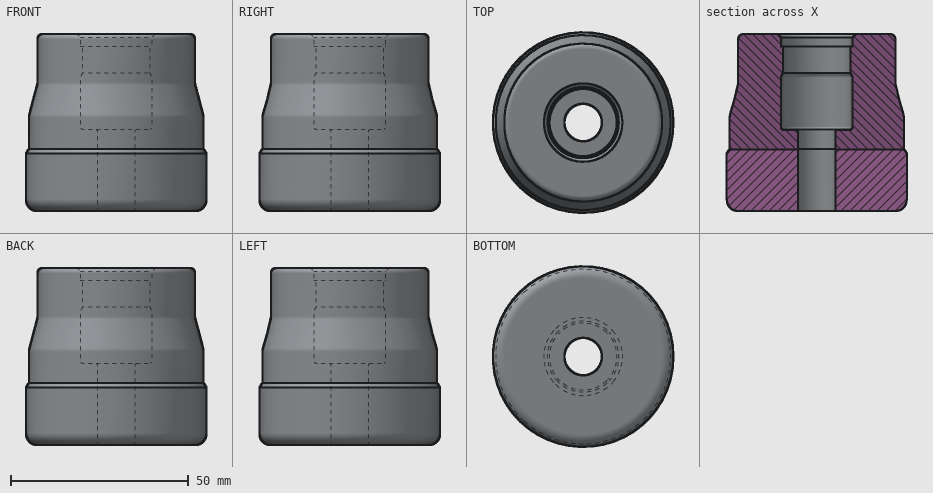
import cadquery as cq
import math

height = 49.85
base_radius = 25.4
waist_radius = 24.6
neck_radius = 22.2
neck_depth = 14.05
waist_depth = 23.1
joint_depth = 32.35
top_edge_fillet = 1.5
bottom_edge_fillet = 3.25
cone_fillet = 3.0

rim_middle_radius = 24.9
rim_middle_depth = 32.7
rim_bottom_depth = 33.65

bore_radius = 10.0
bore_chamfer = 1.0
lip_radius = 9.45
lip_top_depth = 3.5
lip_bottom_depth = 10.9
lip_cone_length = 1.1
lip_cone_fillet = 1.2
floor_depth = 26.9
floor_fillet = 0.8

hole_radius = 5.25
hole_edge_fillet = 0.5


def at_depth(depth):
    """Height of a point that lies this far below the top face."""
    return height - depth


def unit_vector(start, end):
    """Direction from one (radius, height) point to another."""
    length = math.dist(start, end)
    return (end[0] - start[0]) / length, (end[1] - start[1]) / length


def rounded_corner(before, corner, after, fillet):
    """Start, middle and end of the arc that rounds a corner of an outline."""
    back = unit_vector(corner, before)
    ahead = unit_vector(corner, after)
    half_angle = math.acos(back[0] * ahead[0] + back[1] * ahead[1]) / 2
    tangent_length = fillet / math.tan(half_angle)
    middle_distance = fillet / math.sin(half_angle) - fillet
    inward = unit_vector((0, 0), (back[0] + ahead[0], back[1] + ahead[1]))
    return [
        (corner[0] + distance * direction[0], corner[1] + distance * direction[1])
        for distance, direction in (
            (tangent_length, back),
            (middle_distance, inward),
            (tangent_length, ahead),
        )
    ]


def revolve_outline(corners):
    """Revolve an outline of (radius, height, fillet) corners about Z; its first corner is sharp."""
    points = [(radius, z) for radius, z, _ in corners]
    outline = cq.Workplane("XZ").moveTo(*points[0])
    for index in range(1, len(corners)):
        fillet = corners[index][2]
        if fillet == 0:
            outline = outline.lineTo(*points[index])
            continue
        following = points[(index + 1) % len(points)]
        start, middle, end = rounded_corner(points[index - 1], points[index], following, fillet)
        outline = outline.lineTo(*start).threePointArc(middle, end)
    return outline.close().revolve(360, (0, 0, 0), (0, 1, 0))


def make_base():
    """Round base with a rounded lower edge, a bevelled rim and a through hole."""
    return revolve_outline([
        (hole_radius, 0, 0),
        (base_radius, 0, bottom_edge_fillet),
        (base_radius, at_depth(rim_bottom_depth), 0),
        (rim_middle_radius, at_depth(rim_middle_depth), 0),
        (waist_radius, at_depth(joint_depth), 0),
        (hole_radius, at_depth(joint_depth), 0),
    ])


def make_upper_body():
    """Tapered body standing on the base, with a lip inside its bore."""
    outside = [
        (waist_radius, at_depth(joint_depth), 0),
        (waist_radius, at_depth(waist_depth), cone_fillet),
        (neck_radius, at_depth(neck_depth), cone_fillet),
        (neck_radius, height, top_edge_fillet),
    ]
    bore = [
        (bore_radius + bore_chamfer, height, 0),
        (bore_radius, at_depth(bore_chamfer), 0),
        (bore_radius, at_depth(lip_top_depth), 0),
        (lip_radius, at_depth(lip_top_depth), 0),
        (lip_radius, at_depth(lip_bottom_depth), 0),
        (bore_radius, at_depth(lip_bottom_depth + lip_cone_length), lip_cone_fillet),
        (bore_radius, at_depth(floor_depth), floor_fillet),
        (hole_radius, at_depth(floor_depth), hole_edge_fillet),
    ]
    return revolve_outline([(hole_radius, at_depth(joint_depth), 0)] + outside + bore)


base = make_base()
upper_body = make_upper_body()

result = cq.Compound.makeCompound([base.val(), upper_body.val()])